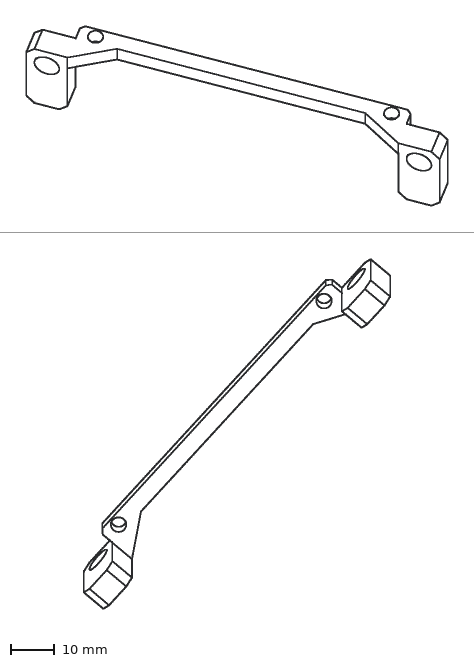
import cadquery as cq

length = 100.0
height = 20.0
depth = 10.0
leg_width = 10.0
leg_depth = 6.0
leg_chamfer = 2.0
bar_height = 4.0
brace_run = 10.0
bar_corner_chamfer = 1.0
leg_hole_diameter = 6.0
leg_hole_drop = 5.0
bar_hole_diameter = 3.5
bar_hole_spacing = 71.6
bar_hole_y = 7.8

half_length = length / 2
leg_inner_x = half_length - leg_width
leg_center_x = half_length - leg_width / 2
bar_front_x = leg_inner_x - brace_run


def make_leg(side):
    """Upright leg at one end (side is -1 or 1), chamfered except where it meets the bar."""
    outline = [
        (leg_inner_x, height),
        (half_length - leg_chamfer, height),
        (half_length, height - leg_chamfer),
        (half_length, leg_chamfer),
        (half_length - leg_chamfer, 0),
        (leg_inner_x + leg_chamfer, 0),
        (leg_inner_x, leg_chamfer),
    ]
    points = [(side * x, z) for x, z in outline]
    return cq.Workplane("XZ").polyline(points).close().extrude(-leg_depth)


def make_bar():
    """Cross bar set back behind the legs, with a sloped brace at each end."""
    right_half = [
        (bar_front_x, leg_depth),
        (leg_inner_x, 0),
        (leg_inner_x, depth - bar_corner_chamfer),
        (leg_inner_x - bar_corner_chamfer, depth),
    ]
    left_half = [(-x, y) for x, y in reversed(right_half)]
    bar_plane = cq.Workplane("XY").workplane(offset=height - bar_height)
    return bar_plane.polyline(right_half + left_half).close().extrude(bar_height)


def make_leg_hole(side):
    """Hole through a leg along Y."""
    center = (side * leg_center_x, height - leg_hole_drop)
    return cq.Workplane("XZ").center(*center).circle(leg_hole_diameter / 2).extrude(-leg_depth)


def make_bar_hole(side):
    """Vertical hole through one end of the bar."""
    center = (side * bar_hole_spacing / 2, bar_hole_y)
    return cq.Workplane("XY").center(*center).circle(bar_hole_diameter / 2).extrude(height)


result = make_bar()
for side in (-1, 1):
    result = result.union(make_leg(side))
for side in (-1, 1):
    result = result.cut(make_leg_hole(side)).cut(make_bar_hole(side))